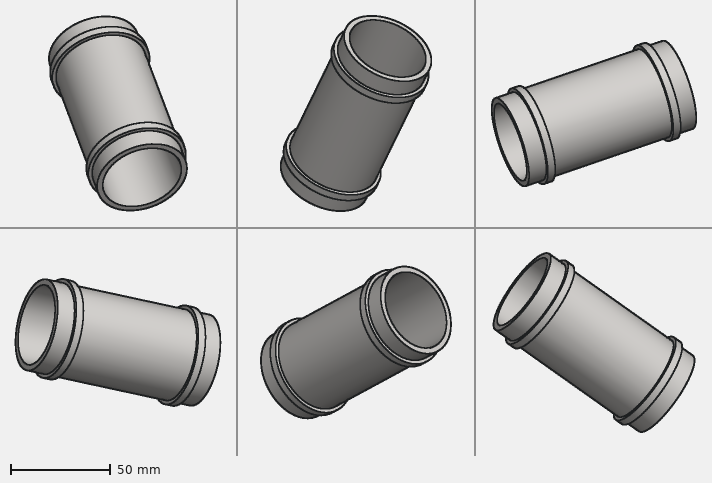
import cadquery as cq

tube_length = 92.0
tube_diameter = 47.0
bore_diameter = 41.0
collar_diameter = 51.0
collar_width = 4.05
collar_inset = 9.5


def cylinder_along_x(diameter, length, center_x=0.0):
    """Solid cylinder on the X axis, centred at center_x."""
    start = cq.Workplane("YZ", origin=(center_x - length / 2, 0, 0))
    return start.circle(diameter / 2).extrude(length)


body = cylinder_along_x(tube_diameter, tube_length)

collar_center = tube_length / 2 - collar_inset - collar_width / 2
for side in (-1, 1):
    body = body.union(cylinder_along_x(collar_diameter, collar_width, side * collar_center))

result = body.cut(cylinder_along_x(bore_diameter, tube_length))